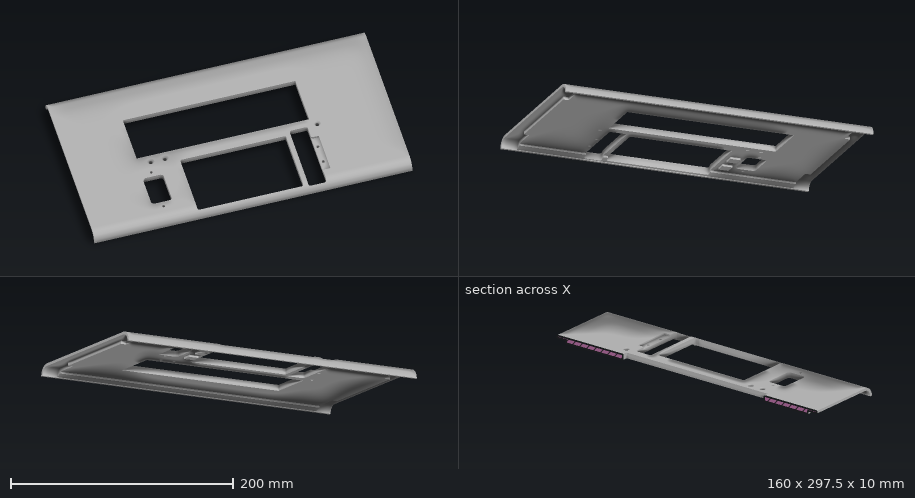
import cadquery as cq
import math

WIDTH = 160.0
LENGTH = 297.5
HEIGHT = 10.0
SHEET = 2.5
EDGE_RADIUS = HEIGHT
INNER_RADIUS = EDGE_RADIUS - SHEET

PAD_DEPTH = 3.0
PAD_HALF_WIDTH = 73.0
PAD_SETBACK = 15.0
TONGUE_HALF_WIDTH = 48.3
TONGUE_REACH = 5.0
PAD_BOTTOM = HEIGHT - SHEET - PAD_DEPTH

RAIL_INNER_X = 71.5
RAIL_OUTER_X = WIDTH / 2 - SHEET / 2
RAIL_INNER_BOTTOM = 2.7
RAIL_OUTER_BOTTOM = 0.3

FOOT_SIZE = 9.6
FOOT_DEPTH = 2.0
FOOT_XS = (37.5, 57.3)
FOOT_Y = -60.0

LONG_WINDOW = (-39.5, 5.5, -88.0, 73.5, 0.5)
SLOT_WINDOW = (13.5, 76.5, 52.5, 69.5, 2.0)
SCREEN_WINDOW = (18.0, 75.5, -51.0, 48.0, 1.5)
SOCKET_WINDOW = (29.0, 59.0, -89.2, -70.0, 3.0)

RECESS_X_MIN = 26.0
RECESS_X_MAX = 64.0
RECESS_Y_MAX = 76.5
RECESS_DEPTH = 2.0
RECESS_FLARE_RADIUS = 1.5
RECESS_HOLE_XS = (36.0, 53.5)
RECESS_HOLE_Y = 72.8
RECESS_HOLE_DIAMETER = 2.8

SOCKET_HOLE_PITCH = 40.0
SOCKET_HOLE_DIAMETER = 2.6

SCREW_X = 12.2
SCREW_YS = (79.0, -63.5, -76.8)
SCREW_DIAMETER = 3.4
SCREW_HEAD_DIAMETER = 6.5


def box(x_min, x_max, y_min, y_max, z_min, z_max):
    """Axis-aligned block between the given limits."""
    size = (x_max - x_min, y_max - y_min, z_max - z_min)
    return cq.Workplane("XY").box(*size, centered=False).translate((x_min, y_min, z_min))


def cylinder(x, y, diameter, z_min, z_max):
    """Vertical cylinder between two heights."""
    base = cq.Workplane("XY").workplane(offset=z_min).center(x, y)
    return base.circle(diameter / 2).extrude(z_max - z_min)


def rolled_profile(half_width, radius):
    """Solid bar along Y with a flat top, quarter-round long edges and its base at Z = 0."""
    flat = half_width - radius
    rounding = radius * math.sin(math.pi / 4)
    return (
        cq.Workplane("XZ", origin=(0, LENGTH / 2, 0))
        .moveTo(-half_width, 0)
        .threePointArc((-flat - rounding, rounding), (-flat, radius))
        .lineTo(flat, radius)
        .threePointArc((flat + rounding, rounding), (half_width, 0))
        .close()
        .extrude(LENGTH)
    )


def make_shell():
    """Constant-thickness sheet with both long edges rolled down."""
    outside = rolled_profile(WIDTH / 2, EDGE_RADIUS)
    inside = rolled_profile(WIDTH / 2 - SHEET, INNER_RADIUS)
    return outside.cut(inside)


def make_rail(y_end):
    """Rail along the +X edge, reaching into the thickness of the shell."""
    section = [
        (RAIL_INNER_X, HEIGHT - SHEET),
        (RAIL_INNER_X, RAIL_INNER_BOTTOM),
        (RAIL_OUTER_X, RAIL_OUTER_BOTTOM),
        (RAIL_OUTER_X, HEIGHT - SHEET),
    ]
    return cq.Workplane("XZ", origin=(0, y_end, 0)).polyline(section).close().extrude(2 * y_end)


def make_underside():
    """Pad, end tongues, side rails and feet, kept within the rolled outside surface."""
    pad_end = LENGTH / 2 - PAD_SETBACK
    tongue_end = pad_end + TONGUE_REACH
    pad_top = HEIGHT - SHEET
    under = box(-PAD_HALF_WIDTH, PAD_HALF_WIDTH, -pad_end, pad_end, PAD_BOTTOM, pad_top)
    tongue = box(-TONGUE_HALF_WIDTH, TONGUE_HALF_WIDTH, -tongue_end, tongue_end, PAD_BOTTOM, pad_top)
    rail = make_rail(pad_end)
    under = under.union(tongue).union(rail).union(rail.mirror("YZ"))
    under = under.intersect(rolled_profile(WIDTH / 2, EDGE_RADIUS))
    half = FOOT_SIZE / 2
    for x in FOOT_XS:
        foot = box(x - half, x + half, FOOT_Y - half, FOOT_Y + half, PAD_BOTTOM - FOOT_DEPTH, PAD_BOTTOM)
        under = under.union(foot)
    return under


def window(x_min, x_max, y_min, y_max, corner_radius):
    """Through-cutter for a rectangular opening with rounded corners."""
    return box(x_min, x_max, y_min, y_max, 0, HEIGHT).edges("|Z").fillet(corner_radius)


def cut_windows(body):
    for limits in (LONG_WINDOW, SLOT_WINDOW, SCREEN_WINDOW, SOCKET_WINDOW):
        body = body.cut(window(*limits))
    return body


def cut_recess(body):
    """Recess with flared mouth corners and two through holes in its floor."""
    slot_top = SLOT_WINDOW[3]
    floor = HEIGHT - RECESS_DEPTH
    body = body.cut(box(RECESS_X_MIN, RECESS_X_MAX, slot_top, RECESS_Y_MAX, floor, HEIGHT))
    radius = RECESS_FLARE_RADIUS
    for x, side in ((RECESS_X_MIN, -1), (RECESS_X_MAX, 1)):
        x_far = x + side * radius
        corner = box(min(x, x_far), max(x, x_far), slot_top, slot_top + radius, floor, HEIGHT)
        rounding = cylinder(x_far, slot_top + radius, 2 * radius, floor, HEIGHT)
        body = body.cut(corner.cut(rounding))
    for x in RECESS_HOLE_XS:
        body = body.cut(cylinder(x, RECESS_HOLE_Y, RECESS_HOLE_DIAMETER, 0, HEIGHT))
    return body


def cut_socket_holes(body):
    x_min, x_max, y_min, y_max, _ = SOCKET_WINDOW
    for side in (-1, 1):
        x = (x_min + x_max + side * SOCKET_HOLE_PITCH) / 2
        body = body.cut(cylinder(x, (y_min + y_max) / 2, SOCKET_HOLE_DIAMETER, 0, HEIGHT))
    return body


def countersink(x, y):
    """90 degree cone that narrows from the screw head to the screw shank."""
    head = SCREW_HEAD_DIAMETER / 2
    shank = SCREW_DIAMETER / 2
    return cq.Workplane(cq.Solid.makeCone(shank, head, head - shank, pnt=(x, y, HEIGHT - head + shank)))


def cut_screw_holes(body):
    for y in SCREW_YS:
        body = body.cut(cylinder(SCREW_X, y, SCREW_DIAMETER, 0, HEIGHT))
        body = body.cut(countersink(SCREW_X, y))
    return body


cover = make_shell().union(make_underside())
cover = cut_windows(cover)
cover = cut_recess(cover)
cover = cut_socket_holes(cover)
result = cut_screw_holes(cover)